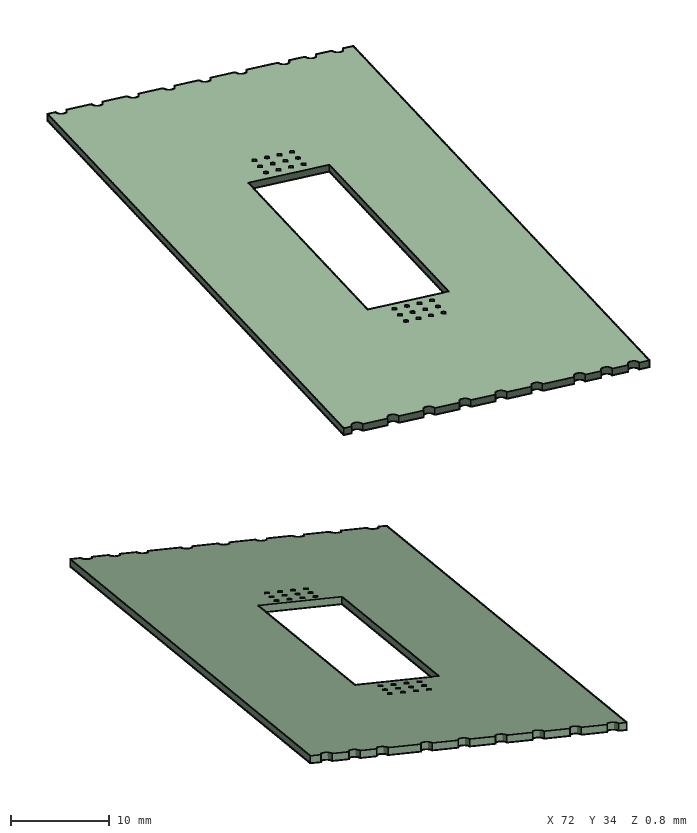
import cadquery as cq

LENGTH = 72.0
WIDTH = 34.0
THICKNESS = 0.8

WINDOW_LENGTH = 29.0
WINDOW_WIDTH = 9.0

NOTCH_RADIUS = 0.6
UPPER_NOTCH_TOP_Y = 15.25
UPPER_NOTCH_PITCH = 3.0
UPPER_NOTCH_COUNT = 3
LOWER_NOTCH_TOP_Y = 4.5
LOWER_NOTCH_PITCH = 4.0
LOWER_NOTCH_COUNT = 6

HOLE_DIAMETER = 0.45
HOLE_PITCH = 1.4
HOLE_COLUMNS = 3
HOLE_ROWS = 4
HOLE_GRID_SPACING = 34.0
HOLE_PAIR_X = -0.1
HOLE_PAIR_Y = 0.1


def descending_positions(top, pitch, count):
    """Evenly spaced positions running down from the top one."""
    return [top - index * pitch for index in range(count)]


def make_plate():
    """Plain rectangular plate."""
    return cq.Workplane("XY").box(LENGTH, WIDTH, THICKNESS, centered=(True, True, False))


def make_window():
    """Block that removes the central window."""
    return cq.Workplane("XY").box(WINDOW_LENGTH, WINDOW_WIDTH, THICKNESS, centered=(True, True, False))


def make_notches():
    """Cylinders on the two short edges that leave half-round notches."""
    upper = descending_positions(UPPER_NOTCH_TOP_Y, UPPER_NOTCH_PITCH, UPPER_NOTCH_COUNT)
    lower = descending_positions(LOWER_NOTCH_TOP_Y, LOWER_NOTCH_PITCH, LOWER_NOTCH_COUNT)
    centres = [(side * LENGTH / 2, y) for side in (-1, 1) for y in upper + lower]
    return cq.Workplane("XY").pushPoints(centres).circle(NOTCH_RADIUS).extrude(THICKNESS)


def make_hole_grid(center_x):
    """Cylinders for one rectangular grid of small holes."""
    return (
        cq.Workplane("XY")
        .center(center_x, HOLE_PAIR_Y)
        .rarray(HOLE_PITCH, HOLE_PITCH, HOLE_COLUMNS, HOLE_ROWS)
        .circle(HOLE_DIAMETER / 2)
        .extrude(THICKNESS)
    )


result = make_plate().cut(make_window()).cut(make_notches())
for side in (-1, 1):
    result = result.cut(make_hole_grid(HOLE_PAIR_X + side * HOLE_GRID_SPACING / 2))